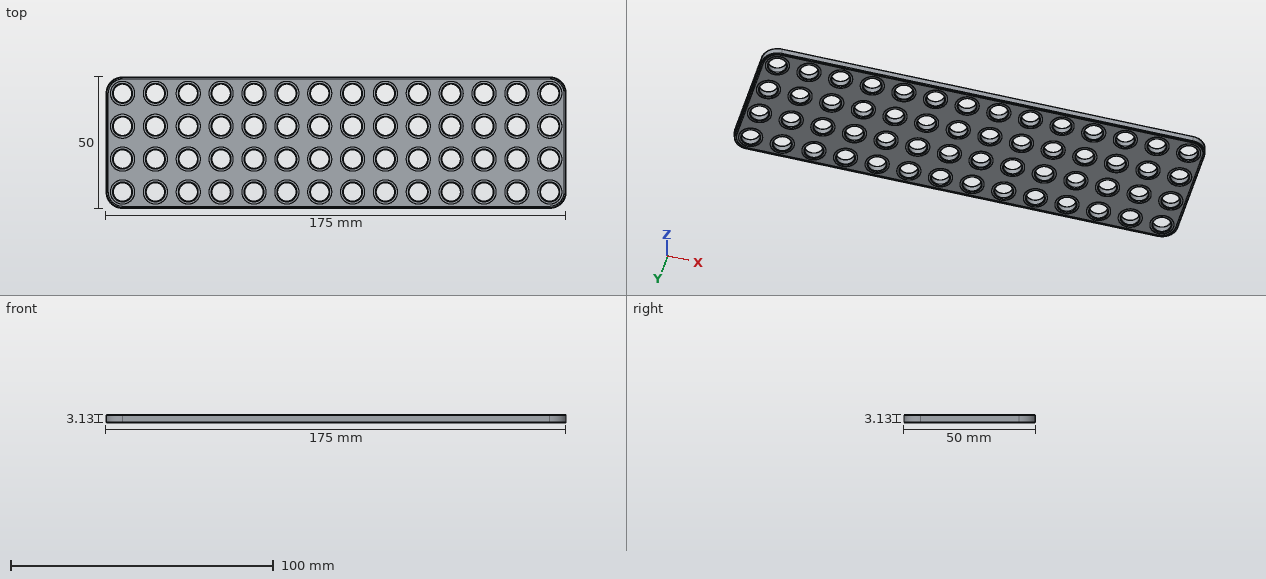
import cadquery as cq

columns = 14
rows = 4
length = 175.0
pitch = length / columns

width = rows * pitch
thickness = pitch / 4
corner_radius = pitch / 2
chamfer = 0.3

hole_diameter = 7.0

lip_height = 0.2
edge_lip_width = 0.8
hole_land_width = 0.8
hole_lip_diameter = hole_diameter + 2 * (chamfer + hole_land_width)


def rounded_slab(inset, height):
    """Slab with the plate outline moved inwards by inset, standing on Z = 0."""
    return (
        cq.Workplane("XY")
        .rect(length - 2 * inset, width - 2 * inset)
        .extrude(height)
        .edges("|Z")
        .fillet(corner_radius - inset)
    )


def hole_grid():
    """Workplane with a point at the centre of every hole."""
    return cq.Workplane("XY").rarray(pitch, pitch, columns, rows)


def make_plate():
    """Solid plate chamfered around both faces."""
    return rounded_slab(0, thickness).faces("<Z or >Z").edges().chamfer(chamfer)


def make_hole_cutters():
    """Through holes with a 45 degree chamfer at both ends, revolved about Z."""
    hole_radius = hole_diameter / 2
    mouth_radius = hole_radius + chamfer
    cutter = (
        cq.Workplane("XZ")
        .lineTo(mouth_radius, 0)
        .lineTo(hole_radius, chamfer)
        .lineTo(hole_radius, thickness - chamfer)
        .lineTo(mouth_radius, thickness)
        .lineTo(0, thickness)
        .close()
        .revolve(360, (0, 0, 0), (0, 1, 0))
        .val()
    )
    return hole_grid().eachpoint(lambda place: cutter.moved(place))


def make_face_recess():
    """Shallow layer between the edge lip and the lips around the holes."""
    hole_lips = hole_grid().circle(hole_lip_diameter / 2).extrude(lip_height)
    return rounded_slab(edge_lip_width, lip_height).cut(hole_lips)


face_recess = make_face_recess()

result = make_plate().cut(make_hole_cutters())
for recess_base in (0, thickness - lip_height):
    result = result.cut(face_recess.translate((0, 0, recess_base)))